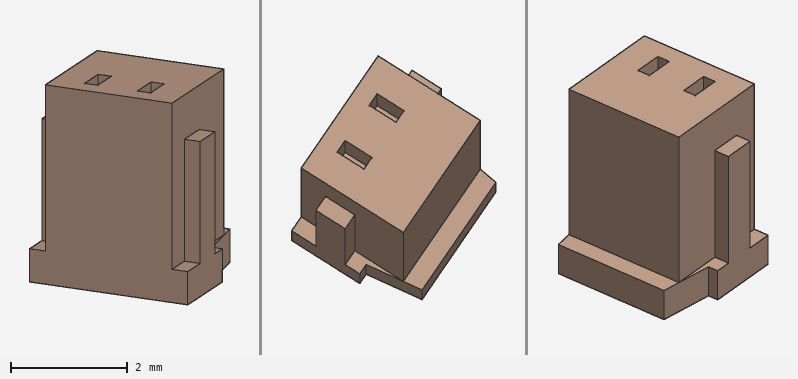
import cadquery as cq

width = 3.0
depth = 2.45
height = 3.6

body_width = 2.4
body_depth = 2.1

base_height = 0.6
flange_depth = 1.4
tail_root_width = 2.6
tail_end_width = 2.305

rib_front = 0.5
rib_depth = 0.6
rib_top = 2.8

slot_pitch = 1.0
slot_width = 0.25
slot_length = 0.55
slot_front = 0.36
slot_depth = 0.72


def block(size_x, size_y, bottom, top, front=0.0, center_x=0.0):
    """Box centred on center_x, starting at the given front and bottom."""
    return (
        cq.Workplane("XY")
        .box(size_x, size_y, top - bottom, centered=(True, False, False))
        .translate((center_x, front, bottom))
    )


def tail():
    """Plate that narrows from the back of the flange to the rear edge."""
    root = tail_root_width / 2
    end = tail_end_width / 2
    outline = [(-root, flange_depth), (root, flange_depth), (end, depth), (-end, depth)]
    return cq.Workplane("XY").polyline(outline).close().extrude(base_height)


body = block(body_width, body_depth, 0, height)
flange = block(width, flange_depth, 0, base_height)
ribs = block(width, rib_depth, 0, rib_top, rib_front)

result = body.union(flange).union(ribs).union(tail())

for side in (-1, 1):
    slot = block(
        slot_width, slot_length, height - slot_depth, height, slot_front, side * slot_pitch / 2
    )
    result = result.cut(slot)